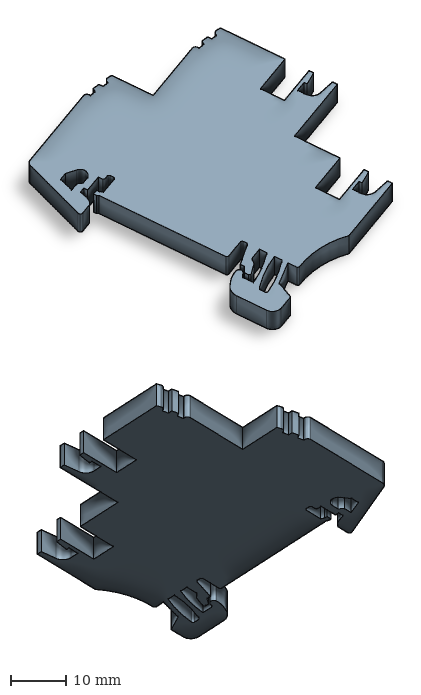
import cadquery as cq

LENGTH = 58.4
HEIGHT = 52.2
THICKNESS = 5.1

LOWER_LEFT_TOP = 32.2
UPPER_LEFT = 10.6
LOWER_RIGHT_TOP = 37.65
UPPER_RIGHT = 37.45
UNDERSIDE = 6.85
SEAT_LEFT = 14.0
SEAT_RIGHT = 42.6
SPRING_ROOT = 11.55
FLANK_TOP = 22.95
FLANK_BOTTOM_X = 54.8
EDGE_RADIUS = 0.4

HOOK_ROOT_X = 11.8
HOOK_TIP_X = 14.8
HOOK_TIP_Y = 1.0
HOOK_TIP_RADIUS = 0.5
CORNER_Y = 6.5
CORNER_RADIUS = 1.1

UPPER_TOOTH_INSET = 1.75
TOOTH_STEP_X = 0.8
TOOTH_STEP_Y = 3.05
UNDERCUT_X = 0.35
UNDERCUT_Y = 1.8

SLOT_WIDTH = 5.15
SLOT_DEPTH = 8.35
SLOT_TO_FACE = 6.1
POCKET_DEPTH = 5.1
POCKET_RADIUS = 2.1
POST_TOP = 1.05
POST_ROOT = 1.75
POCKET_WALL = 5.3
BARB_DEPTH = 2.85
BARB_TIP = 4.7
BARB_TOP = 5.1

FOOT_RIGHT = 57.25
TAB_LEFT = 43.9


def extrude(outline):
    return outline.close().extrude(THICKNESS)


def round_corner(body, x, y, radius):
    """Fillet the through-thickness edge at (x, y)."""
    edge = cq.selectors.NearestToPointSelector((x, y, THICKNESS / 2))
    return body.edges(edge).fillet(radius)


def housing():
    """Stepped plate with the concave flank and the fixed hook at the lower left."""
    plate = extrude(
        cq.Workplane("XY")
        .moveTo(0, LOWER_LEFT_TOP)
        .lineTo(UPPER_LEFT, LOWER_LEFT_TOP)
        .lineTo(UPPER_LEFT, HEIGHT)
        .lineTo(UPPER_RIGHT, HEIGHT)
        .lineTo(UPPER_RIGHT, LOWER_RIGHT_TOP)
        .lineTo(LENGTH, LOWER_RIGHT_TOP)
        .lineTo(LENGTH, FLANK_TOP)
        .threePointArc((55.7, 18.0), (FLANK_BOTTOM_X, SPRING_ROOT))
        .lineTo(SEAT_RIGHT, SPRING_ROOT)
        .lineTo(SEAT_RIGHT, UNDERSIDE)
        .lineTo(HOOK_ROOT_X, UNDERSIDE)
        .lineTo(HOOK_ROOT_X, 5.7)
        .lineTo(12.95, 5.4)
        .threePointArc((14.1, 4.9), (HOOK_TIP_X, 4.1))
        .lineTo(HOOK_TIP_X, HOOK_TIP_Y)
        .lineTo(0, CORNER_Y)
    )
    plate = round_corner(plate, 0, CORNER_Y, CORNER_RADIUS)
    plate = round_corner(plate, HOOK_TIP_X, HOOK_TIP_Y, HOOK_TIP_RADIUS)
    plate = round_corner(plate, FLANK_BOTTOM_X, SPRING_ROOT, EDGE_RADIUS)
    plate = round_corner(plate, SEAT_RIGHT, UNDERSIDE, EDGE_RADIUS)
    return plate


def ratchet_cut(left, top):
    """Waste outside the two ratchet teeth at the top left corner of a step."""
    upper_x = left + UPPER_TOOTH_INSET
    lower_x = upper_x - TOOTH_STEP_X
    lower_y = top - TOOTH_STEP_Y
    bottom = lower_y - TOOTH_STEP_Y
    return extrude(
        cq.Workplane("XY")
        .moveTo(left, top)
        .lineTo(upper_x, top)
        .lineTo(upper_x - 0.3, top - 0.8)
        .threePointArc((upper_x - 0.2, top - 1.5), (upper_x + UNDERCUT_X, top - UNDERCUT_Y))
        .lineTo(upper_x + 0.05, lower_y)
        .lineTo(lower_x, lower_y)
        .lineTo(lower_x - 0.35, lower_y - 1.4)
        .lineTo(lower_x + UNDERCUT_X, lower_y - UNDERCUT_Y)
        .lineTo(lower_x + 0.1, bottom)
        .lineTo(left + 0.7, bottom)
        .threePointArc((left + 0.205, bottom - 0.25), (left, bottom - 0.75))
    )


def clamp_cut(right, top):
    """Square slot and snap pocket beside it, at the top right corner of a step."""
    slot_left = right - SLOT_TO_FACE - SLOT_WIDTH
    slot = (
        cq.Workplane("XY")
        .box(SLOT_WIDTH, SLOT_DEPTH, THICKNESS, centered=False)
        .translate((slot_left, top - SLOT_DEPTH, 0))
    )
    floor = top - POCKET_DEPTH
    pocket = extrude(
        cq.Workplane("XY")
        .moveTo(right - POST_TOP, top)
        .lineTo(right - POST_ROOT, floor)
        .lineTo(right - POCKET_WALL, floor)
        .lineTo(right - POCKET_WALL, top - BARB_DEPTH)
        .lineTo(right - BARB_TIP, top - BARB_DEPTH)
        .lineTo(right - BARB_TOP, top)
    )
    return slot.union(round_corner(pocket, right - POST_ROOT, floor, POCKET_RADIUS))


def hook_window():
    """Through opening above the fixed hook."""
    return extrude(
        cq.Workplane("XY")
        .moveTo(7.1, 8.0)
        .lineTo(7.1, 6.35)
        .lineTo(10.15, 5.3)
        .lineTo(10.15, 7.0)
        .lineTo(11.05, 7.75)
        .lineTo(11.05, 9.1)
        .threePointArc((9.85, 10.45), (8.35, 9.75))
    )


def rail_cut():
    """Stepped slot between the fixed hook and the rail seat."""
    return extrude(
        cq.Workplane("XY")
        .moveTo(12.6, UNDERSIDE)
        .lineTo(12.6, 10.45)
        .lineTo(13.5, 10.45)
        .threePointArc((13.7, 10.55), (13.85, 10.8))
        .lineTo(13.85, 11.5)
        .threePointArc((13.95, 11.8), (14.25, 11.9))
        .lineTo(14.9, 11.9)
        .threePointArc((15.2, 11.8), (15.3, 11.5))
        .lineTo(15.3, 8.0)
        .lineTo(14.65, 7.65)
        .lineTo(SEAT_LEFT, 7.65)
        .lineTo(SEAT_LEFT, UNDERSIDE)
    )


def seat_lip():
    """Small bead under the left end of the rail seat."""
    return extrude(
        cq.Workplane("XY")
        .moveTo(SEAT_LEFT, UNDERSIDE)
        .lineTo(SEAT_LEFT, 6.6)
        .lineTo(14.65, 6.6)
        .lineTo(15.0, UNDERSIDE)
    )


def stop_tab():
    """Rigid tab that limits the travel of the spring foot."""
    return extrude(
        cq.Workplane("XY")
        .moveTo(TAB_LEFT, SPRING_ROOT)
        .lineTo(45.4, 6.65)
        .lineTo(46.25, 6.65)
        .lineTo(47.1, 5.4)
        .lineTo(47.95, 5.4)
        .lineTo(48.3, 5.7)
        .lineTo(47.4, 8.1)
        .lineTo(46.4, 9.0)
        .lineTo(46.4, SPRING_ROOT)
    )


def spring_foot():
    """Foot on two thin curved legs."""
    foot = extrude(
        cq.Workplane("XY")
        .moveTo(48.0, SPRING_ROOT)
        .threePointArc((49.2, 7.9), (49.7, 4.3))
        .lineTo(47.3, 4.3)
        .lineTo(46.9, 5.25)
        .threePointArc((46.2, 5.6), (45.55, 4.9))
        .threePointArc((45.8, 3.05), (46.35, 1.7))
        .threePointArc((47.25, 0.5), (48.8, 0))
        .lineTo(55.2, 0)
        .threePointArc((56.65, 0.6), (FOOT_RIGHT, 1.75))
        .lineTo(FOOT_RIGHT, 5.0)
        .lineTo(53.7, 6.65)
        .lineTo(52.5, SPRING_ROOT)
    )
    gap = extrude(
        cq.Workplane("XY")
        .moveTo(49.65, SPRING_ROOT)
        .threePointArc((50.1, 7.65), (51.15, 4.2))
        .threePointArc((51.35, 3.75), (51.8, 3.5))
        .lineTo(52.7, 3.5)
        .threePointArc((52.95, 3.6), (53.1, 3.9))
        .threePointArc((52.5, 7.8), (51.3, SPRING_ROOT))
    )
    return foot.cut(gap)


part = (
    housing()
    .cut(ratchet_cut(0, LOWER_LEFT_TOP))
    .cut(ratchet_cut(UPPER_LEFT, HEIGHT))
    .cut(clamp_cut(LENGTH, LOWER_RIGHT_TOP))
    .cut(clamp_cut(UPPER_RIGHT, HEIGHT))
    .cut(hook_window())
    .cut(rail_cut())
    .union(seat_lip())
    .union(stop_tab())
    .union(spring_foot())
)

part = round_corner(part, SEAT_RIGHT, SPRING_ROOT, EDGE_RADIUS)
result = round_corner(part, TAB_LEFT, SPRING_ROOT, EDGE_RADIUS)